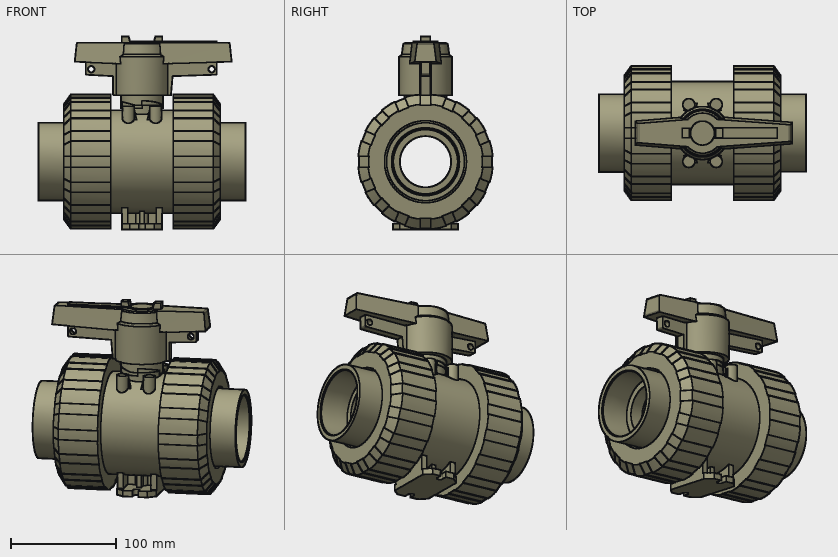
import cadquery as cq
import math

LENGTH = 196.0
BORE_R = 24.1
CUT_MARGIN = 2.0

HOUSING_R = 48.8
HOUSING_HALF = 54.9

CONNECTOR_R = 36.8
CONNECTOR_FLANGE_R = 46.0
FLANGE_THICK = 6.9
SOCKET_MOUTH_R = 32.1
SOCKET_THROAT_R = 31.4
SOCKET_FLOOR_R = 30.4
SOCKET_CHAMFER_X = 1.0
SOCKET_DEPTH = 29.4

NUT_INNER_X = 29.4
NUT_OUTER_X = 74.0
NUT_WIDTH = 127.2
NUT_GROOVE_DEPTH = 0.8
NUT_GROOVE_WIDTH = 10.2
NUT_TOOTH_R = math.hypot(NUT_WIDTH / 2, NUT_GROOVE_WIDTH / 2)
NUT_GROOVES = 16
NUT_BEVEL_X = 6.9
NUT_BEVEL_R = 9.5
NUT_LIP_R = 38.8

NECK_R = 19.5
NECK_HALF_X = 18.6
NECK_TOP = 53.5
STEM_R = 19.6
STEM_TOP = 83.0
COLLAR_R = 20.0
STOP_R = 19.8
STOP_BOTTOM = 50.4
LUG_HALF_ANGLE = 20.0
STOP_END_ANGLE = 270.0
COLLAR_HIGH = 57.6
RAMP_SLOPE = 0.27
X_RAMP_START = -7.0

PIN_R = 5.7
PIN_X = 13.0
PIN_Y = 26.9
PIN_TOP = 52.3
GUSSET_THICK = 2.7
GUSSET_TOP = 48.8
GUSSET_FOOT_Z = 39.2
GUSSET_REACH = 2.4
GUSSET_ANGLES = (180, 300)

FOOT_BOTTOM = -64.3
FOOT_TOP = -58.5
FOOT_X = 19.0
FOOT_Y = 30.8
FOOT_CORNER_X = 7.3
FOOT_CORNER_Y = 6.7
FOOT_SLOT_R = 3.0
FOOT_SLOT_DEPTH = 8.8
SIDE_RIB_THICK = 5.7
SIDE_RIB_Y = 22.3
MID_RIB_THICK = 4.5
MID_RIB_Y = 14.1
BOSS_R = 6.3

HUB_R = 25.0
HUB_BOTTOM = 62.7
HUB_SHOULDER = 99.2
CROWN_BOTTOM = 101.3
CROWN_BASE_R = 22.5
CROWN_TOP_R = 21.2
CROWN_EDGE_R = 2.2
CROWN_EDGE_Z = 1.2
SHOULDER_R = 23.5
SHOULDER_TOP = 100.4

LEVER_TOP = 112.5
LEVER_HUB_BOTTOM = 92.7
LEVER_END_BOTTOM = 94.5
LEVER_LEFT = -63.9
LEVER_RIGHT = 85.0
LEVER_LEFT_Y = 11.5
LEVER_MID_Y = 16.5
LEVER_RIGHT_Y = 10.4
LEVER_DRAFT_X = 2.2
LEVER_DRAFT_Y = 2.5
LEVER_TIP_TRIM = 0.4
LEVER_TIP_ROUND = 1.5

KEY_THICK = 8.6
KEY_SLOT_WIDTH = 10.5
KEY_SLOT_TOP = 93.7
KEY_LEFT = -53.3
KEY_RIGHT = 70.8
KEY_END_BOTTOM = 82.1
KEY_HUB_BOTTOM = 80.8
KEY_LEG_LEFT = -27.5
KEY_LEG_RIGHT = 29.0
KEY_LEG_RIGHT_FOOT = 27.5
KEY_CORNER_R = 1.4
KEY_HOLE_R = 3.0
KEY_HOLE_X = (-48.0, 65.9)
KEY_HOLE_Z = 87.5

TOP_PAD_R = 11.4
TOP_PAD_HEIGHT = 1.2
TOP_STRIP_WIDTH = 10.2
BLOCK_TOP = 118.4
BLOCK_OUTER_X = 19.2
BLOCK_BASE_X = 11.0
BLOCK_TOP_X = 12.5
BLOCK_WIDTH = 9.0


def turned_about_x(points):
    """Solid of revolution about X from (x, radius) points."""
    return cq.Workplane("XY").polyline(points).close().revolve(360, (0, 0, 0), (1, 0, 0))


def upright(radius, bottom, top, x=0.0, y=0.0):
    """Cylinder along Z between two heights."""
    return cq.Workplane("XY", origin=(x, y, bottom)).circle(radius).extrude(top - bottom)


def sector(radius, start_angle, end_angle, bottom, top):
    """Pie slice about Z between two angles and two heights."""
    angles = (start_angle, (start_angle + end_angle) / 2, end_angle)
    start, middle, end = [
        (radius * math.cos(math.radians(angle)), radius * math.sin(math.radians(angle))) for angle in angles
    ]
    return (
        cq.Workplane("XY", origin=(0, 0, bottom))
        .lineTo(*start).threePointArc(middle, end).close().extrude(top - bottom)
    )


def block(x_range, y_range, z_range):
    """Box between pairs of limits."""
    spans = [high - low for low, high in (x_range, y_range, z_range)]
    corner = (x_range[0], y_range[0], z_range[0])
    return cq.Workplane("XY").box(*spans, centered=False).translate(corner)


def half_turn(shape):
    return shape.rotate((0, 0, 0), (0, 0, 1), 180)


def neck_and_stem():
    neck = upright(NECK_R, 0, NECK_TOP).intersect(
        block((-NECK_HALF_X, NECK_HALF_X), (-NECK_R, NECK_R), (0, NECK_TOP))
    )
    stem = upright(STEM_R, NECK_TOP, STEM_TOP)
    collar = upright(COLLAR_R, NECK_TOP, HUB_BOTTOM)

    reach = COLLAR_R + CUT_MARGIN
    ramp_run = (COLLAR_HIGH - NECK_TOP) / RAMP_SLOPE
    cut_under_y_ramp = (
        cq.Workplane("YZ")
        .polyline([(-reach, NECK_TOP), (-reach, COLLAR_HIGH), (-COLLAR_R, COLLAR_HIGH),
                   (ramp_run - COLLAR_R, NECK_TOP)])
        .close().extrude(reach)
    )
    cut_under_x_ramp = (
        cq.Workplane("XZ")
        .polyline([(X_RAMP_START, NECK_TOP), (X_RAMP_START - ramp_run, NECK_TOP),
                   (X_RAMP_START - ramp_run, COLLAR_HIGH)])
        .close().extrude(reach)
    )
    for cut in (cut_under_y_ramp, cut_under_x_ramp):
        collar = collar.cut(cut).cut(half_turn(cut))

    lug = sector(COLLAR_R, 180 - LUG_HALF_ANGLE, 180 + LUG_HALF_ANGLE, STOP_BOTTOM, COLLAR_HIGH)
    stop = sector(STOP_R, 180 + LUG_HALF_ANGLE, STOP_END_ANGLE, STOP_BOTTOM, COLLAR_HIGH)
    body = neck.union(stem).union(collar)
    for part in (lug, stop):
        body = body.union(part).union(half_turn(part))
    return body


def gusseted_pin():
    """Pin at +X +Y with its gussets."""
    pin = upright(PIN_R, 0, PIN_TOP, PIN_X, PIN_Y)
    foot_reach = PIN_R + GUSSET_REACH
    gusset = (
        cq.Workplane("XZ", origin=(0, GUSSET_THICK / 2, 0))
        .polyline([(0, GUSSET_TOP), (PIN_R, GUSSET_TOP), (foot_reach, GUSSET_FOOT_Z), (0, GUSSET_FOOT_Z)])
        .close().extrude(GUSSET_THICK)
    )
    for angle in GUSSET_ANGLES:
        pin = pin.union(gusset.rotate((0, 0, 0), (0, 0, 1), angle).translate((PIN_X, PIN_Y, 0)))
    return pin


def mounting_foot():
    corner_x = FOOT_X - FOOT_CORNER_X
    corner_y = FOOT_Y - FOOT_CORNER_Y
    foot = (
        cq.Workplane("XY", origin=(0, 0, FOOT_BOTTOM))
        .polyline([(-FOOT_X, -corner_y), (-corner_x, -FOOT_Y), (corner_x, -FOOT_Y), (FOOT_X, -corner_y),
                   (FOOT_X, corner_y), (corner_x, FOOT_Y), (-corner_x, FOOT_Y), (-FOOT_X, corner_y)])
        .close().extrude(FOOT_TOP - FOOT_BOTTOM)
    )
    slot_length = 2 * FOOT_SLOT_DEPTH
    slots = (
        cq.Workplane("XY", origin=(0, 0, FOOT_BOTTOM))
        .pushPoints([(0, -FOOT_Y), (0, FOOT_Y)])
        .slot2D(slot_length, 2 * FOOT_SLOT_R, 90)
        .extrude(FOOT_TOP - FOOT_BOTTOM)
    )
    foot = foot.cut(slots)

    heights = (FOOT_TOP, 0)
    for low, high in ((-FOOT_X, SIDE_RIB_THICK - FOOT_X), (FOOT_X - SIDE_RIB_THICK, FOOT_X)):
        foot = foot.union(block((low, high), (-SIDE_RIB_Y, SIDE_RIB_Y), heights))
    half_rib = MID_RIB_THICK / 2
    foot = foot.union(block((-half_rib, half_rib), (-MID_RIB_Y, MID_RIB_Y), heights))
    foot = foot.union(block((-FOOT_X, FOOT_X), (-half_rib, half_rib), heights))
    return foot.union(upright(BOSS_R, FOOT_TOP, 0))


def make_housing():
    barrel = cq.Workplane("YZ").circle(HOUSING_R).extrude(HOUSING_HALF, both=True)
    housing = barrel.union(neck_and_stem()).union(mounting_foot())
    pin = gusseted_pin()
    mirrored_pin = pin.mirror("YZ")
    for one_pin in (pin, mirrored_pin, half_turn(pin), half_turn(mirrored_pin)):
        housing = housing.union(one_pin)
    bore = cq.Workplane("YZ").circle(BORE_R).extrude(HOUSING_HALF, both=True)
    return housing.cut(bore)


def nut_blank(outer_r):
    return turned_about_x([
        (NUT_INNER_X, 0), (NUT_INNER_X, outer_r), (NUT_OUTER_X - NUT_BEVEL_X, outer_r),
        (NUT_OUTER_X, outer_r - NUT_BEVEL_R), (NUT_OUTER_X, 0),
    ])


def make_nut():
    teeth = nut_blank(NUT_TOOTH_R)
    groove = block((NUT_INNER_X, NUT_OUTER_X),
                   (-NUT_GROOVE_WIDTH / 2, NUT_GROOVE_WIDTH / 2),
                   (CONNECTOR_R, NUT_TOOTH_R + CUT_MARGIN))
    for index in range(NUT_GROOVES):
        teeth = teeth.cut(groove.rotate((0, 0, 0), (1, 0, 0), index * 360 / NUT_GROOVES))
    nut = teeth.union(nut_blank(NUT_TOOTH_R - NUT_GROOVE_DEPTH))
    lip_x = HOUSING_HALF + FLANGE_THICK
    cavity = turned_about_x([
        (NUT_INNER_X, 0), (NUT_INNER_X, HOUSING_R), (lip_x, HOUSING_R),
        (lip_x, NUT_LIP_R), (NUT_OUTER_X, NUT_LIP_R), (NUT_OUTER_X, 0),
    ])
    return nut.cut(cavity)


def make_connector():
    end_x = LENGTH / 2
    flange_x = HOUSING_HALF + FLANGE_THICK
    floor_x = end_x - SOCKET_DEPTH
    return turned_about_x([
        (HOUSING_HALF, BORE_R), (HOUSING_HALF, CONNECTOR_FLANGE_R), (flange_x, CONNECTOR_FLANGE_R),
        (flange_x, CONNECTOR_R), (end_x, CONNECTOR_R), (end_x, SOCKET_MOUTH_R),
        (end_x - SOCKET_CHAMFER_X, SOCKET_THROAT_R), (floor_x, SOCKET_FLOOR_R), (floor_x, BORE_R),
    ])


def at_both_ends(body):
    return [body, half_turn(body)]


def lever_outline(inset_x, inset_y):
    left = LEVER_LEFT + inset_x
    right = LEVER_RIGHT - inset_x
    upper = [(left, LEVER_LEFT_Y - inset_y), (0, LEVER_MID_Y - inset_y), (right, LEVER_RIGHT_Y - inset_y)]
    lower = [(x, -y) for x, y in reversed(upper)]
    return upper + lower


def lever():
    arms = (
        cq.Workplane("XY", origin=(0, 0, LEVER_HUB_BOTTOM))
        .polyline(lever_outline(0, 0)).close()
        .workplane(offset=LEVER_TOP - LEVER_HUB_BOTTOM)
        .polyline(lever_outline(LEVER_DRAFT_X, LEVER_DRAFT_Y)).close()
        .loft(ruled=True)
    )
    rise_to_tips = (
        cq.Workplane("XZ", origin=(0, LEVER_MID_Y, 0))
        .polyline([(LEVER_LEFT, LEVER_END_BOTTOM), (-HUB_R, LEVER_HUB_BOTTOM), (HUB_R, LEVER_HUB_BOTTOM),
                   (LEVER_RIGHT, LEVER_END_BOTTOM), (LEVER_RIGHT, LEVER_HUB_BOTTOM - CUT_MARGIN),
                   (LEVER_LEFT, LEVER_HUB_BOTTOM - CUT_MARGIN)])
        .close().extrude(2 * LEVER_MID_Y)
    )
    arms = arms.cut(rise_to_tips)
    arms = arms.intersect(block((LEVER_LEFT + LEVER_TIP_TRIM, LEVER_RIGHT),
                                (-LEVER_MID_Y, LEVER_MID_Y), (LEVER_HUB_BOTTOM, LEVER_TOP)))
    return arms.faces(">Z").edges("|Y").fillet(LEVER_TIP_ROUND)


def hub():
    profile = [
        (0, HUB_BOTTOM), (HUB_R, HUB_BOTTOM), (HUB_R, HUB_SHOULDER), (SHOULDER_R, SHOULDER_TOP),
        (CROWN_BASE_R, CROWN_BOTTOM), (CROWN_TOP_R, LEVER_TOP - CROWN_EDGE_Z),
        (CROWN_TOP_R - CROWN_EDGE_R, LEVER_TOP), (0, LEVER_TOP),
    ]
    return cq.Workplane("XZ").polyline(profile).close().revolve(360, (0, 0, 0), (0, 1, 0))


def key_web():
    web = (
        cq.Workplane("XZ", origin=(0, KEY_THICK / 2, 0))
        .polyline([(KEY_LEFT, LEVER_END_BOTTOM), (KEY_LEFT, KEY_END_BOTTOM), (KEY_LEG_LEFT, KEY_HUB_BOTTOM),
                   (KEY_LEG_LEFT, HUB_BOTTOM), (KEY_LEG_RIGHT_FOOT, HUB_BOTTOM),
                   (KEY_LEG_RIGHT, KEY_HUB_BOTTOM), (KEY_RIGHT, KEY_END_BOTTOM),
                   (KEY_RIGHT, LEVER_END_BOTTOM)])
        .close().extrude(KEY_THICK)
    )
    for x, z in ((KEY_LEFT, KEY_END_BOTTOM), (KEY_RIGHT, KEY_END_BOTTOM), (KEY_LEG_LEFT, HUB_BOTTOM)):
        web = web.edges(cq.selectors.NearestToPointSelector((x, 0, z))).fillet(KEY_CORNER_R)
    holes = (
        cq.Workplane("XZ", origin=(0, KEY_THICK / 2, 0))
        .pushPoints([(x, KEY_HOLE_Z) for x in KEY_HOLE_X])
        .circle(KEY_HOLE_R).extrude(KEY_THICK)
    )
    return web.cut(holes)


def top_details():
    heights = (LEVER_TOP, LEVER_TOP + TOP_PAD_HEIGHT)
    details = upright(TOP_PAD_R, *heights)
    half_strip = TOP_STRIP_WIDTH / 2
    strip = block((BLOCK_BASE_X, KEY_RIGHT), (-half_strip, half_strip), heights)
    stop_block = (
        cq.Workplane("XZ", origin=(0, BLOCK_WIDTH / 2, 0))
        .polyline([(BLOCK_BASE_X, LEVER_TOP), (BLOCK_OUTER_X, LEVER_TOP),
                   (BLOCK_OUTER_X, BLOCK_TOP), (BLOCK_TOP_X, BLOCK_TOP)])
        .close().extrude(BLOCK_WIDTH)
    )
    return details.union(strip).union(stop_block).union(half_turn(stop_block))


def make_handle():
    handle = hub().union(lever())
    half_slot = KEY_SLOT_WIDTH / 2
    hollow = upright(COLLAR_R, HUB_BOTTOM, KEY_SLOT_TOP)
    slot = block((-HUB_R, HUB_R), (-half_slot, half_slot), (HUB_BOTTOM, KEY_SLOT_TOP))
    handle = handle.cut(hollow).cut(slot)
    stem_room = upright(COLLAR_R, HUB_BOTTOM, STEM_TOP)
    return handle.union(key_web().cut(stem_room)).union(top_details())


housing = make_housing()
nuts = at_both_ends(make_nut())
connectors = at_both_ends(make_connector())
handle = make_handle()

result = cq.Compound.makeCompound(
    [housing.val(), *[nut.val() for nut in nuts],
     *[connector.val() for connector in connectors], handle.val()]
)